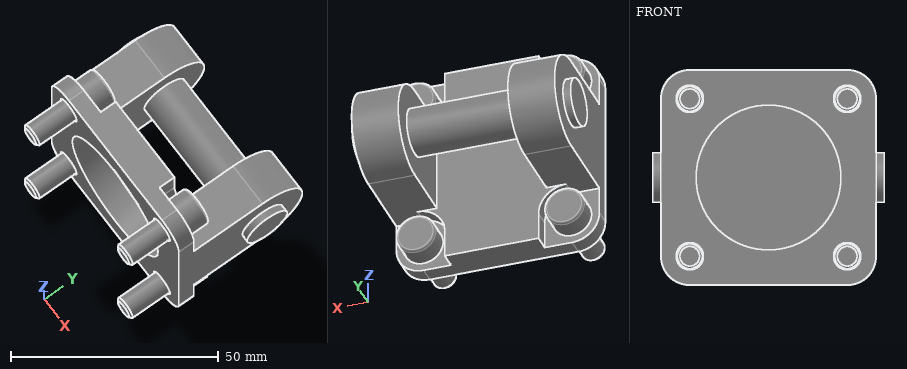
import cadquery as cq

flange_side = 52.0
flange_thickness = 4.5
flange_corner_radius = 7.0
center_thickness = 8.95
recess_diameter = 35.0
recess_depth = 7.0

pocket_side = 2 * flange_corner_radius
pocket_corner_radius = flange_corner_radius

lug_thickness = 12.0
lug_width = flange_side - 2 * pocket_side
lug_reach = 37.0
pin_diameter = 12.0
pin_length = 56.0
pin_axis_y = lug_reach - lug_width / 2

screw_offset = flange_side / 2 - flange_corner_radius
screw_clearance_diameter = 6.6
shank_diameter = 6.0
shank_protrusion = 11.5
shank_chamfer = 0.6
head_diameter = 10.0
head_height = 6.0
head_fillet = 0.55
underhead_fillet = 0.2

corner_signs = [(x_sign, z_sign) for x_sign in (-1, 1) for z_sign in (-1, 1)]
screw_centers = [(x_sign * screw_offset, z_sign * screw_offset) for x_sign, z_sign in corner_signs]


def xz_plane(y):
    """Plane at height y above the mounting face, with local axes X, Z and normal -Y.

    Negative extrusions from it therefore run toward +Y.
    """
    return cq.Workplane("XZ", origin=(0, y, 0))


def make_flange():
    """Thick rounded square, thinned to the flange thickness in each corner."""
    flange = (
        xz_plane(0)
        .rect(flange_side, flange_side)
        .extrude(-center_thickness)
        .edges("|Y")
        .fillet(flange_corner_radius)
    )
    cutter_side = 2 * pocket_side
    cutters = (
        xz_plane(flange_thickness)
        .rect(flange_side, flange_side, forConstruction=True)
        .vertices()
        .rect(cutter_side, cutter_side)
        .extrude(flange_thickness - center_thickness)
        .edges("|Y")
        .fillet(pocket_corner_radius)
    )
    return flange.cut(cutters)


def make_lug(x_sign):
    """Round-ended lug, flush with one side of the flange."""
    half_width = lug_width / 2
    outer_x = flange_side / 2
    start_x = outer_x - lug_thickness if x_sign > 0 else -outer_x
    return (
        cq.Workplane("YZ", origin=(start_x, 0, 0))
        .moveTo(0, -half_width)
        .lineTo(pin_axis_y, -half_width)
        .threePointArc((lug_reach, 0), (pin_axis_y, half_width))
        .lineTo(0, half_width)
        .close()
        .extrude(lug_thickness)
    )


def make_bracket():
    """Flange, two lugs and cross pin in one piece, with screw holes and a round recess."""
    bracket = make_flange()
    for x_sign in (-1, 1):
        bracket = bracket.union(make_lug(x_sign))

    pin = (
        cq.Workplane("YZ", origin=(-pin_length / 2, pin_axis_y, 0))
        .circle(pin_diameter / 2)
        .extrude(pin_length)
    )
    recess = xz_plane(0).circle(recess_diameter / 2).extrude(-recess_depth)
    screw_holes = (
        xz_plane(0)
        .pushPoints(screw_centers)
        .circle(screw_clearance_diameter / 2)
        .extrude(-flange_thickness)
    )
    return bracket.union(pin).cut(recess).cut(screw_holes)


def make_screw(x, z):
    """Cylinder-head screw pointing to -Y, its head seated on the pocket floor."""
    seat = xz_plane(flange_thickness).center(x, z)
    head = seat.circle(head_diameter / 2).extrude(-head_height)
    shank = seat.circle(shank_diameter / 2).extrude(flange_thickness + shank_protrusion)
    smallest_radius = cq.selectors.RadiusNthSelector(0)
    return (
        head.union(shank)
        .edges(smallest_radius).edges(">Y")
        .fillet(underhead_fillet)
        .faces("<Y").edges()
        .chamfer(shank_chamfer)
        .faces(">Y").edges()
        .fillet(head_fillet)
    )


bracket = make_bracket()
screws = [make_screw(x, z) for x, z in screw_centers]

result = cq.Compound.makeCompound([bracket.val(), *[screw.val() for screw in screws]])